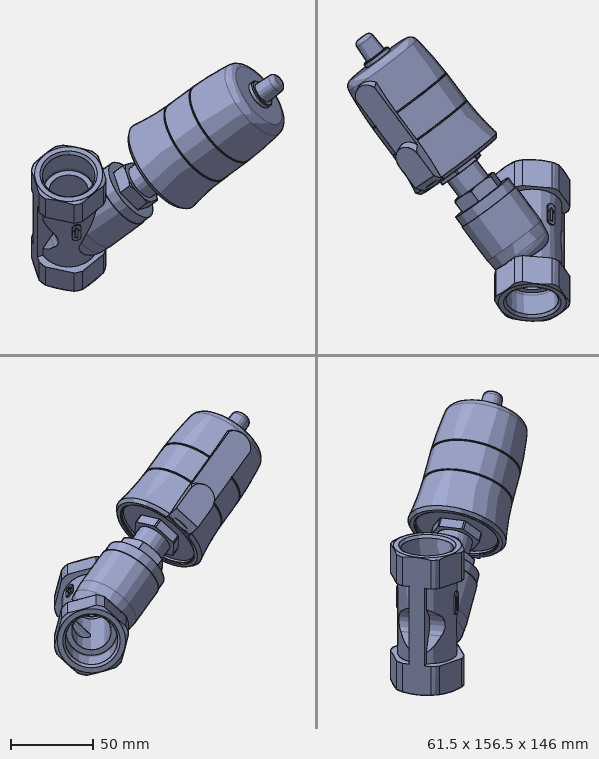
import cadquery as cq
import math


body_length = 90.3
pipe_dia = 36.2
end_hex_flats = 42.1
end_hex_round_dia = 45.9
end_hex_height = 19.7
end_chamfer = 1.0
end_face_dia = 41.5
bore_dia = 24.0
socket_dia = 32.0
socket_floor_dia = 31.0
socket_floor_band = 1.7
socket_mouth_dia = 34.9
socket_mouth_depth = 1.7
socket_depth = 17.2
rib_width = 9.9

waist_deepest_y = -10.5
waist_deepest_z = -1.5
waist_arc_top = (-12.8, 5.2)
waist_arc_bottom = (-12.7, -8.1)
waist_edge_y = -18.8
waist_edge_top_z = 11.5
waist_edge_bottom_z = -21.0
weir_wall = 1.5

pad_width = 5.5
pad_length = 15.0
pad_center_z = 9.5
pad_face_x = 19.0
arrow_length = 9.4
arrow_shaft_width = 1.7
arrow_head_width = 3.8
arrow_head_length = 2.8
arrow_depth = 0.5

incline = 40.0
axis_foot_z = -17.7

branch_round_end = 11.5
branch_taper_end = 18.6
branch_top = 44.3
bonnet_top = 51.2
nut_top = 59.6
lock_hex_bottom = 72.0
actuator_bottom = 75.3
rim_edge = 77.5
lower_joint = 104.4
upper_joint = 125.2
actuator_top = 156.7
plug_collar_top = 159.7
plug_top = 173.3

branch_dia = 41.0
branch_tip_dia = 39.8
branch_round = 9.9
bonnet_dia = 40.0
nut_flats = 27.4
nut_chamfer = 0.8
lock_hex_round_dia = 31.0
stem_dia = 22.0
rim_dia = 61.5
rim_face_dia = 57.9
recess_mouth_dia = 53.2
recess_dia = 51.7
recess_mouth_depth = 1.0
recess_depth = 2.5
middle_dia = 56.3
cap_dia = 50.5
cap_round = 5.2
flare_bulge = 0.55
joint_width = 0.8
joint_depth = 0.23
plug_collar_dia = 18.2
plug_collar_chamfer = 0.6
plug_base_dia = 13.6
plug_tip_dia = 11.9
plug_round = 3.0

lug_width = 18.2
port_reach = 34.0
port_round_center = 97.2
port_bottom_chamfer = 5.8
strip_reach = 29.1
strip_round_center = 140.7
lug_draft = 14.0


def cylinder(dia, bottom, top):
    return cq.Workplane("XY").workplane(offset=bottom).circle(dia / 2).extrude(top - bottom)


def across_corners(flats):
    return flats / math.cos(math.pi / 6)


def hexagon(flats, bottom, top):
    """Hexagonal prism with two corners on the X axis."""
    base = cq.Workplane("XY").workplane(offset=bottom)
    return base.polygon(6, across_corners(flats)).extrude(top - bottom)


def waist_prism(shift_y):
    """Waist outline in the YZ plane, extruded across the whole pipe."""
    edge_y = waist_edge_y + shift_y
    outline = (
        cq.Workplane("YZ")
        .moveTo(edge_y, waist_edge_top_z)
        .lineTo(waist_arc_top[0] + shift_y, waist_arc_top[1])
        .threePointArc(
            (waist_deepest_y + shift_y, waist_deepest_z),
            (waist_arc_bottom[0] + shift_y, waist_arc_bottom[1]),
        )
        .lineTo(edge_y, waist_edge_bottom_z)
        .close()
    )
    return outline.extrude(pipe_dia / 2 + weir_wall, both=True)


def end_hex():
    """Upper pipe end: hexagon with rounded corners and a chamfered outer face."""
    top = body_length / 2
    bottom = top - end_hex_height
    chamfer_run = (end_hex_round_dia - end_face_dia) / 2
    envelope = cylinder(end_hex_round_dia, bottom, top).faces(">Z").chamfer(end_chamfer, chamfer_run)
    return hexagon(end_hex_flats, bottom, top).intersect(envelope)


def socket():
    """Tapered threaded socket of the upper pipe end, with a countersunk mouth."""
    top = body_length / 2
    floor = top - socket_depth
    profile = (
        cq.Workplane("XZ")
        .moveTo(0, floor)
        .lineTo(socket_floor_dia / 2, floor)
        .lineTo(socket_floor_dia / 2, floor + socket_floor_band)
        .lineTo(socket_dia / 2, top - socket_mouth_depth)
        .lineTo(socket_mouth_dia / 2, top)
        .lineTo(0, top)
        .close()
    )
    return profile.revolve(360, (0, 0, 0), (0, 1, 0))


def both_ends(upper):
    return upper.union(upper.mirror("XY"))


def flow_pad():
    """Obround pad on the -X side with an engraved arrow pointing up."""
    pad = (
        cq.Workplane("YZ")
        .center(0, pad_center_z)
        .slot2D(pad_length, pad_width, 90)
        .extrude(-pad_face_x)
    )
    tip = arrow_length / 2
    neck = tip - arrow_head_length
    arrow = (
        cq.Workplane("YZ", origin=(-pad_face_x, 0, pad_center_z))
        .polyline([
            (-arrow_shaft_width / 2, -tip),
            (arrow_shaft_width / 2, -tip),
            (arrow_shaft_width / 2, neck),
            (arrow_head_width / 2, neck),
            (0, tip),
            (-arrow_head_width / 2, neck),
            (-arrow_shaft_width / 2, neck),
        ])
        .close()
        .extrude(arrow_depth)
    )
    return pad.cut(arrow)


def pipe_body():
    pipe = cylinder(pipe_dia, -body_length / 2, body_length / 2).cut(waist_prism(0))
    rib_depth = end_hex_flats / 2
    rib = cq.Workplane("XY").box(rib_width, rib_depth, body_length - 2 * end_hex_height)
    pad = flow_pad()
    return (
        pipe.union(rib.translate((0, -rib_depth / 2, 0)))
        .union(both_ends(end_hex()))
        .union(pad)
        .union(pad.mirror("YZ"))
    )


def flow_passage():
    bore = cylinder(bore_dia, -body_length / 2, body_length / 2)
    return bore.cut(waist_prism(weir_wall)).union(both_ends(socket()))


def branch():
    """Branch with a rounded foot, bonnet ring, nut, stem and lock hexagon."""
    tip = branch_tip_dia / 2
    foot = branch_round_end - branch_round
    diagonal = branch_round * math.sqrt(0.5)
    shell = (
        cq.Workplane("XZ")
        .moveTo(0, foot)
        .lineTo(tip - branch_round, foot)
        .threePointArc(
            (tip - branch_round + diagonal, branch_round_end - diagonal),
            (tip, branch_round_end),
        )
        .lineTo(branch_dia / 2, branch_taper_end)
        .lineTo(branch_dia / 2, branch_top)
        .lineTo(0, branch_top)
        .close()
        .revolve(360, (0, 0, 0), (0, 1, 0))
    )
    bonnet = cylinder(bonnet_dia, branch_top, bonnet_top)
    nut_envelope = cylinder(across_corners(nut_flats), bonnet_top, nut_top)
    nut_envelope = nut_envelope.faces(">Z").chamfer(nut_chamfer, 2 * nut_chamfer)
    nut = hexagon(nut_flats, bonnet_top, nut_top).intersect(nut_envelope)
    hex_top = actuator_bottom + recess_depth
    lock_hex = hexagon(nut_flats, lock_hex_bottom, hex_top)
    lock_hex = lock_hex.intersect(cylinder(lock_hex_round_dia, lock_hex_bottom, hex_top))
    stem = cylinder(stem_dia, nut_top, hex_top)
    return shell.union(bonnet).union(nut).union(stem).union(lock_hex)


def bowed_middle(start, end, bow):
    """Point halfway between two outline points, moved outward by the bow."""
    return ((start[0] + end[0]) / 2 + bow, (start[1] + end[1]) / 2)


def actuator_shell():
    rim = (rim_dia / 2, rim_edge)
    lower = (middle_dia / 2, lower_joint)
    upper = (middle_dia / 2, upper_joint)
    cap = (cap_dia / 2, actuator_top)
    shell = (
        cq.Workplane("XZ")
        .moveTo(0, actuator_bottom)
        .lineTo(rim_face_dia / 2, actuator_bottom)
        .lineTo(*rim)
        .threePointArc(bowed_middle(rim, lower, -flare_bulge), lower)
        .lineTo(*upper)
        .threePointArc(bowed_middle(upper, cap, flare_bulge), cap)
        .lineTo(0, actuator_top)
        .close()
        .revolve(360, (0, 0, 0), (0, 1, 0))
    )
    return shell.faces(">Z").edges().fillet(cap_round)


def joint_groove(station):
    bottom = station - joint_width / 2
    top = station + joint_width / 2
    outer = cylinder(rim_dia, bottom, top)
    return outer.cut(cylinder(middle_dia - 2 * joint_depth, bottom, top))


def indicator_plug():
    collar = cylinder(plug_collar_dia, actuator_top, plug_collar_top)
    collar = collar.faces(">Z").chamfer(plug_collar_chamfer)
    pin = (
        cq.Workplane("XY").workplane(offset=actuator_top).circle(plug_base_dia / 2)
        .workplane(offset=plug_top - actuator_top).circle(plug_tip_dia / 2)
        .loft()
        .faces(">Z").edges().fillet(plug_round)
    )
    return collar.union(pin)


def lug_bar(reach, top):
    """Square-ended bar from the actuator axis outward, starting at the actuator bottom."""
    base = cq.Workplane("XY", origin=(0, 0, actuator_bottom))
    return base.box(lug_width, reach, top - actuator_bottom, centered=(True, False, False))


def lug(reach, round_center):
    """Bar on the +Y side of the actuator with a drafted round upper end."""
    outer_radius = lug_width / 2
    inner_radius = outer_radius + port_reach * math.tan(math.radians(lug_draft))
    round_end = (
        cq.Workplane("XZ", origin=(0, 0, round_center)).circle(inner_radius)
        .workplane(offset=-port_reach).circle(outer_radius)
        .loft()
    )
    round_end = round_end.intersect(lug_bar(reach, round_center + inner_radius))
    return lug_bar(reach, round_center).union(round_end)


def actuator():
    port = lug(port_reach, port_round_center)
    port = port.faces("<Z").edges(">Y").chamfer(port_bottom_chamfer)
    shell = actuator_shell().cut(joint_groove(lower_joint)).cut(joint_groove(upper_joint))
    shell = shell.union(port).union(lug(strip_reach, strip_round_center))
    recess = cylinder(recess_dia, actuator_bottom, actuator_bottom + recess_depth)
    mouth = cylinder(recess_mouth_dia, actuator_bottom, actuator_bottom + recess_mouth_depth)
    return shell.cut(recess).cut(mouth).union(indicator_plug())


def tilt(upright):
    """Lean an upright part onto the inclined axis, toward +Y."""
    return upright.rotate((0, 0, 0), (1, 0, 0), incline - 90).translate((0, 0, axis_foot_z))


result = pipe_body().union(tilt(branch())).cut(flow_passage()).union(tilt(actuator()))